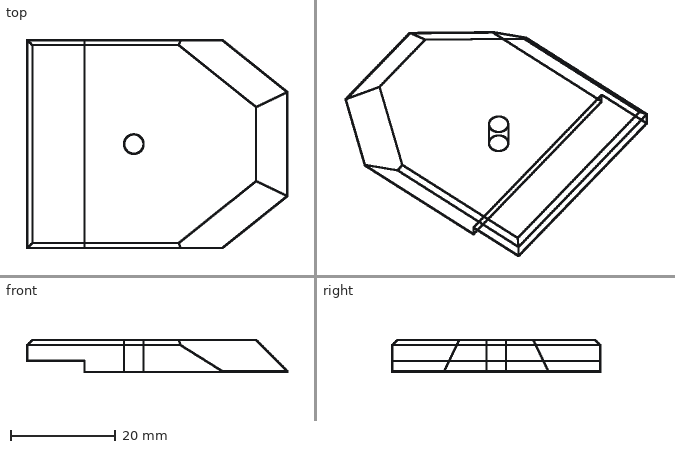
import cadquery as cq

length = 50.0
width = 40.0
thickness = 6.2

nose_width = 20.0
shoulder_x = 37.5
nose_bevel = 6.0

edge_chamfer = 1.0
step_length = 11.0
step_height = 2.2

hole_diameter = 3.7
hole_x = 20.5

corners = [
    (0, width / 2),
    (0, -width / 2),
    (shoulder_x, -width / 2),
    (length, -nose_width / 2),
    (length, nose_width / 2),
    (shoulder_x, width / 2),
]

bevel_sizes = [edge_chamfer, edge_chamfer, nose_bevel, nose_bevel, nose_bevel, edge_chamfer]


def plate():
    """Plate with two corners cut off to form a blunt nose."""
    return cq.Workplane("XY").polyline(corners).close().extrude(thickness)


def bevel_cutter(start, end, size):
    """Bar that cuts a 45 degree bevel on the top edge from start to end, plate on its left."""
    edge = cq.Vector(end[0] - start[0], end[1] - start[1], 0)
    direction = edge.normalized()
    inward = cq.Vector(0, 0, 1).cross(direction)
    overrun = length
    origin = cq.Vector(start[0], start[1], thickness) - direction * overrun
    section_plane = cq.Plane(origin=origin, xDir=inward, normal=direction)
    section = [(size, 0), (0, -size), (-size, -size), (-size, size), (size, size)]
    bar_length = edge.Length + 2 * overrun
    return cq.Workplane(section_plane).polyline(section).close().extrude(bar_length)


def step_cutter():
    """Rebate under the square end, across the full width."""
    return cq.Workplane("XY").box(step_length, width, step_height, centered=(False, True, False))


def hole_cutter():
    """Plain vertical hole through the plate."""
    return cq.Workplane("XY").center(hole_x, 0).circle(hole_diameter / 2).extrude(thickness)


result = plate()
next_corners = corners[1:] + corners[:1]
for start, end, size in zip(corners, next_corners, bevel_sizes):
    result = result.cut(bevel_cutter(start, end, size))
result = result.cut(step_cutter()).cut(hole_cutter())